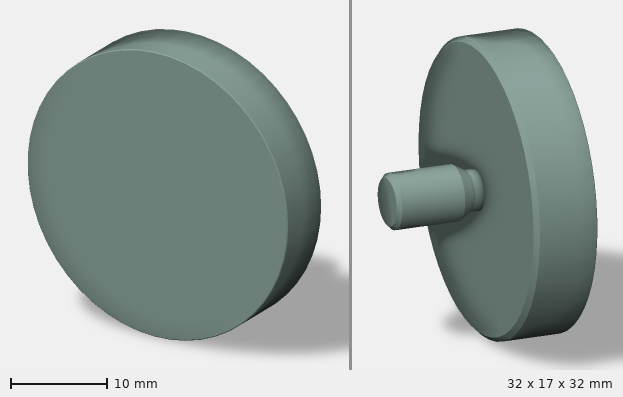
import cadquery as cq

housing_diameter = 32.0
housing_depth = 7.0
front_edge_chamfer = 0.1
back_edge_chamfer = 0.5

overall_depth = 17.0
stud_diameter = 6.0
stud_tip_chamfer = 0.45
neck_diameter = 4.4
neck_length = 1.05
cone_length = 1.4

magnet_diameter = 24.8
ring_outer_diameter = 26.8
recess_depth = 4.48


def disc(diameter, length):
    """Cylinder along +Y, with its front face at Y = 0."""
    return cq.Workplane("XZ").circle(diameter / 2).extrude(-length)


def make_stud():
    """Neck, cone and shank as one turned profile around the Y axis."""
    neck_radius = neck_diameter / 2
    stud_radius = stud_diameter / 2
    neck_end = housing_depth + neck_length
    return (
        cq.Workplane("XY")
        .moveTo(0, housing_depth)
        .lineTo(neck_radius, housing_depth)
        .lineTo(neck_radius, neck_end)
        .lineTo(stud_radius, neck_end + cone_length)
        .lineTo(stud_radius, overall_depth - stud_tip_chamfer)
        .lineTo(stud_radius - stud_tip_chamfer, overall_depth)
        .lineTo(0, overall_depth)
        .close()
        .revolve(360, (0, 0, 0), (0, 1, 0))
    )


def make_housing():
    """Cup with chamfered rims and the stud on its back."""
    cup = disc(housing_diameter, housing_depth)
    cup = cup.faces("<Y").chamfer(front_edge_chamfer)
    cup = cup.faces(">Y").chamfer(back_edge_chamfer)
    recess = disc(ring_outer_diameter, recess_depth)
    return cup.cut(recess).union(make_stud())


def make_ring():
    """Spacer ring between the magnet and the housing wall."""
    return disc(ring_outer_diameter, recess_depth).cut(disc(magnet_diameter, recess_depth))


def make_magnet():
    """Plain round magnet in the middle of the cup."""
    return disc(magnet_diameter, recess_depth)


housing = make_housing()
ring = make_ring()
magnet = make_magnet()

result = cq.Compound.makeCompound([housing.val(), ring.val(), magnet.val()])